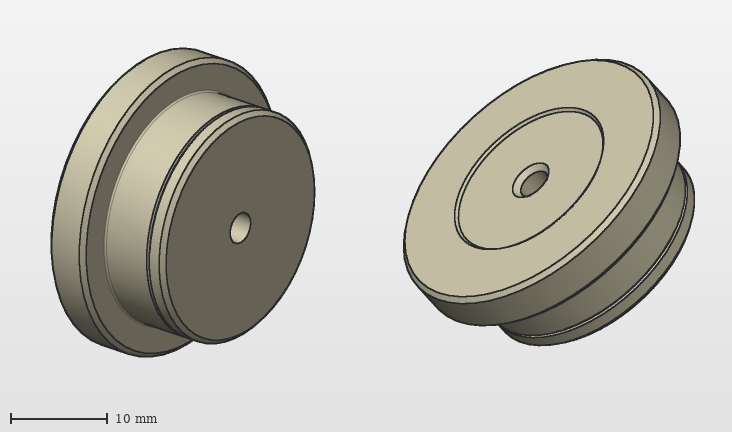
import cadquery as cq

total_length = 12.5
flange_diameter = 32.0
flange_thickness = 4.7
spigot_diameter = 25.0
edge_chamfer = 0.5
root_fillet = 0.2

groove_center = 10.5
groove_width = 0.35
groove_depth = 0.32

recess_rim_diameter = 18.6
recess_floor_diameter = 18.0
recess_depth = 0.3

hole_diameter = 3.3
countersink_diameter = 4.5
countersink_depth = (countersink_diameter - hole_diameter) / 2


def disc(diameter, start, length):
    """Cylinder about the X axis, beginning at X = start."""
    return cq.Workplane("YZ", origin=(start, 0, 0)).circle(diameter / 2).extrude(length)


def cone(start_diameter, end_diameter, start, length):
    """Truncated cone about the X axis, beginning at X = start."""
    solid = cq.Solid.makeCone(
        start_diameter / 2, end_diameter / 2, length, cq.Vector(start, 0, 0), cq.Vector(1, 0, 0)
    )
    return cq.Workplane(obj=solid)


flange = disc(flange_diameter, 0, flange_thickness).edges("%CIRCLE").chamfer(edge_chamfer)
spigot = disc(spigot_diameter, flange_thickness, total_length - flange_thickness)
spigot = spigot.faces(">X").edges().chamfer(edge_chamfer)
body = flange.union(spigot)

root_region = cq.selectors.BoxSelector(
    (flange_thickness - root_fillet, -flange_diameter, -flange_diameter),
    (flange_thickness + root_fillet, flange_diameter, flange_diameter),
)
body = body.edges(root_region).edges(cq.selectors.RadiusNthSelector(0)).fillet(root_fillet)

spigot_radius = spigot_diameter / 2
groove_profile = [
    (groove_center - groove_width / 2, spigot_radius),
    (groove_center, spigot_radius - groove_depth),
    (groove_center + groove_width / 2, spigot_radius),
]
groove = cq.Workplane("XY").polyline(groove_profile).close().revolve(360, (0, 0, 0), (1, 0, 0))

recess = cone(recess_rim_diameter, recess_floor_diameter, 0, recess_depth)
countersink = cone(countersink_diameter, hole_diameter, recess_depth, countersink_depth)
hole = disc(hole_diameter, 0, total_length)

result = body.cut(groove).cut(recess).cut(countersink).cut(hole)